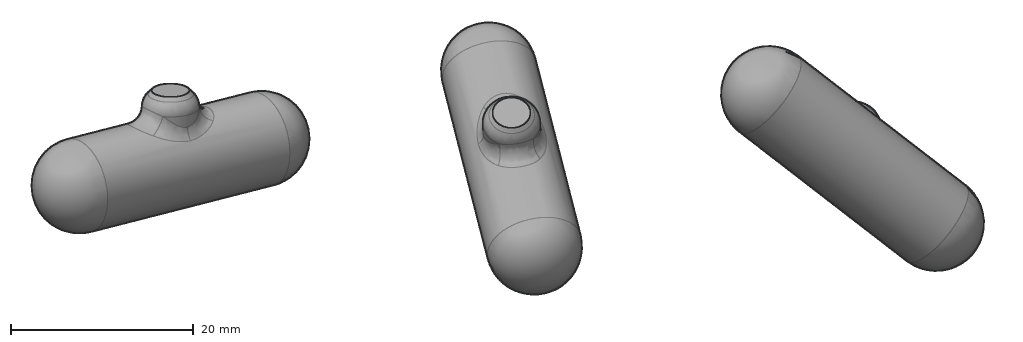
import cadquery as cq
import math

length = 34.98
body_radius = 5.25

total_height = 13.65
stem_radius = 3.15
tip_radius = 2.05
chamfer = 0.42
shoulder_height = 1.47
root_fillet = 2.0

stem_top = total_height - body_radius
chamfer_bottom = stem_top - chamfer
shoulder_bottom = chamfer_bottom - shoulder_height
neck_radius = tip_radius + chamfer


def make_body():
    """Cylinder with hemispherical ends."""
    straight_length = length - 2 * body_radius
    half_straight = straight_length / 2
    body = cq.Workplane("XZ").circle(body_radius).extrude(half_straight, both=True)
    for side in (-1, 1):
        cap = cq.Workplane("XY").sphere(body_radius)
        body = body.union(cap.translate((0, side * half_straight, 0)))
    return body


def make_stem():
    """Revolved stem whose shoulder arc runs tangent into the straight wall."""
    inset = stem_radius - neck_radius
    arc_radius = (inset**2 + shoulder_height**2) / (2 * inset)
    half_angle = math.asin(shoulder_height / arc_radius) / 2
    arc_middle = (
        stem_radius - arc_radius * (1 - math.cos(half_angle)),
        shoulder_bottom + arc_radius * math.sin(half_angle),
    )
    return (
        cq.Workplane("XZ")
        .lineTo(stem_radius, 0)
        .lineTo(stem_radius, shoulder_bottom)
        .threePointArc(arc_middle, (neck_radius, chamfer_bottom))
        .lineTo(tip_radius, stem_top)
        .lineTo(0, stem_top)
        .close()
        .revolve(360, (0, 0), (0, 1))
    )


def stem_root_edges(part):
    """Edges where the stem meets the body, below the shoulder."""
    reach = stem_radius + root_fillet
    root_zone = cq.selectors.BoxSelector(
        (-reach, -reach, 0), (reach, reach, shoulder_bottom), boundingbox=True
    )
    return part.edges(root_zone)


joined = make_body().union(make_stem())
result = stem_root_edges(joined).fillet(root_fillet)